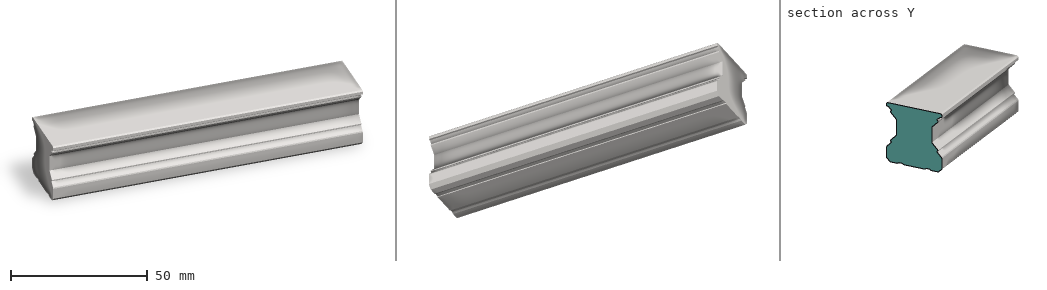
import cadquery as cq

width = 23.0
length = 120.0
height = 23.6

half_width = width / 2
waist_half_width = 7.4
lip_half_width = 10.0
neck_half_width = 9.6
foot_chamfer = 1.5
shoulder_bevel_width = 0.2
shoulder_bevel_height = 0.45
shoulder_z = 6.2
lower_lip_z = 8.25
lower_lip_height = 0.4
upper_lip_z = 20.6
upper_lip_height = 0.55
head_underside_z = 21.95
head_curve_width = 1.1
head_curve_height = 1.0
head_curve_radius = 4.0
head_chamfer = 0.5

relief_inner_x = 4.7
relief_outer_x = 7.1
relief_slope_run = 0.85
relief_depth = 0.4

plug_count = 4
plug_pitch = 30.0
plug_diameter = 11.0
plug_thickness = 2.0


def half_profile():
    """Right half of the rail section, drawn in the XZ plane."""
    flank_run = lip_half_width - waist_half_width
    lower_lip_top_z = lower_lip_z + lower_lip_height
    upper_lip_bottom_z = upper_lip_z - upper_lip_height
    shoulder_x = half_width - shoulder_bevel_width
    neck_foot_z = shoulder_z + shoulder_x - neck_half_width
    ledge_half_width = neck_half_width + head_curve_width
    return (
        cq.Workplane("XZ")
        .moveTo(0, 0)
        .lineTo(relief_inner_x, 0)
        .lineTo(relief_inner_x, relief_depth)
        .lineTo(relief_outer_x - relief_slope_run, relief_depth)
        .lineTo(relief_outer_x, 0)
        .lineTo(half_width - foot_chamfer, 0)
        .lineTo(half_width, foot_chamfer)
        .lineTo(half_width, shoulder_z - shoulder_bevel_height)
        .lineTo(shoulder_x, shoulder_z)
        .lineTo(neck_half_width, neck_foot_z)
        .lineTo(neck_half_width, lower_lip_z)
        .lineTo(lip_half_width, lower_lip_z)
        .lineTo(lip_half_width, lower_lip_top_z)
        .lineTo(waist_half_width, lower_lip_top_z + flank_run)
        .lineTo(waist_half_width, upper_lip_bottom_z - flank_run)
        .lineTo(lip_half_width, upper_lip_bottom_z)
        .lineTo(lip_half_width, upper_lip_z)
        .lineTo(neck_half_width, upper_lip_z)
        .lineTo(neck_half_width, head_underside_z - head_curve_height)
        .radiusArc((ledge_half_width, head_underside_z), -head_curve_radius)
        .lineTo(half_width, head_underside_z)
        .lineTo(half_width, height - head_chamfer)
        .lineTo(half_width - head_chamfer, height)
        .lineTo(0, height)
        .close()
    )


def rail_body():
    """Full rail: the half section extruded along Y and mirrored about the middle plane."""
    half = half_profile().extrude(length / 2, both=True)
    return half.union(half.mirror("YZ"))


def hole_plugs():
    """Row of cylindrical plugs ending at the top face."""
    return (
        cq.Workplane("XY")
        .workplane(offset=height - plug_thickness)
        .rarray(1, plug_pitch, 1, plug_count)
        .circle(plug_diameter / 2)
        .extrude(plug_thickness)
    )


plugs = hole_plugs()
result = rail_body().cut(plugs).union(plugs, clean=False)